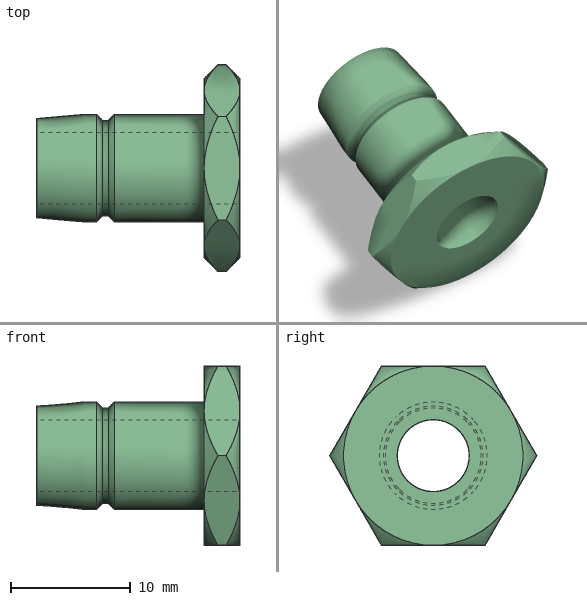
import cadquery as cq
import math

across_corners = 17.32
across_flats = across_corners * math.cos(math.radians(30))
total_length = 17.0
head_thickness = 3.0
tube_radius = 4.5
bore_radius = 3.0

nose_length = 4.0
nose_taper_angle = 5.0

groove_start = 5.0
groove_depth = 0.5
groove_floor_width = 0.5

head_start = total_length - head_thickness


def make_tube():
    """Revolve the nose, groove and shank about X, running into the head."""
    groove_radius = tube_radius - groove_depth
    floor_start = groove_start + groove_depth
    floor_end = floor_start + groove_floor_width
    groove_end = floor_end + groove_depth

    nose_end_radius = tube_radius - nose_length * math.tan(math.radians(nose_taper_angle))

    return (
        cq.Workplane("XY")
        .lineTo(0, nose_end_radius)
        .lineTo(nose_length, tube_radius)
        .lineTo(groove_start, tube_radius)
        .lineTo(floor_start, groove_radius)
        .lineTo(floor_end, groove_radius)
        .lineTo(groove_end, tube_radius)
        .lineTo(total_length, tube_radius)
        .lineTo(total_length, 0)
        .close()
        .revolve(360, (0, 0, 0), (1, 0, 0))
    )


def make_head():
    """Hexagon with corners on Y, turned at 45 degrees on both faces."""
    prism = (
        cq.Workplane("YZ", origin=(head_start, 0, 0))
        .polygon(6, across_corners)
        .extrude(head_thickness)
    )
    corner_radius = across_corners / 2
    face_radius = across_flats / 2
    chamfer = corner_radius - face_radius
    turned_envelope = (
        cq.Workplane("XY")
        .moveTo(head_start, 0)
        .lineTo(head_start, face_radius)
        .lineTo(head_start + chamfer, corner_radius)
        .lineTo(total_length - chamfer, corner_radius)
        .lineTo(total_length, face_radius)
        .lineTo(total_length, 0)
        .close()
        .revolve(360, (0, 0, 0), (1, 0, 0))
    )
    return prism.intersect(turned_envelope)


bore = cq.Workplane("YZ").circle(bore_radius).extrude(total_length)

result = make_tube().union(make_head()).cut(bore)